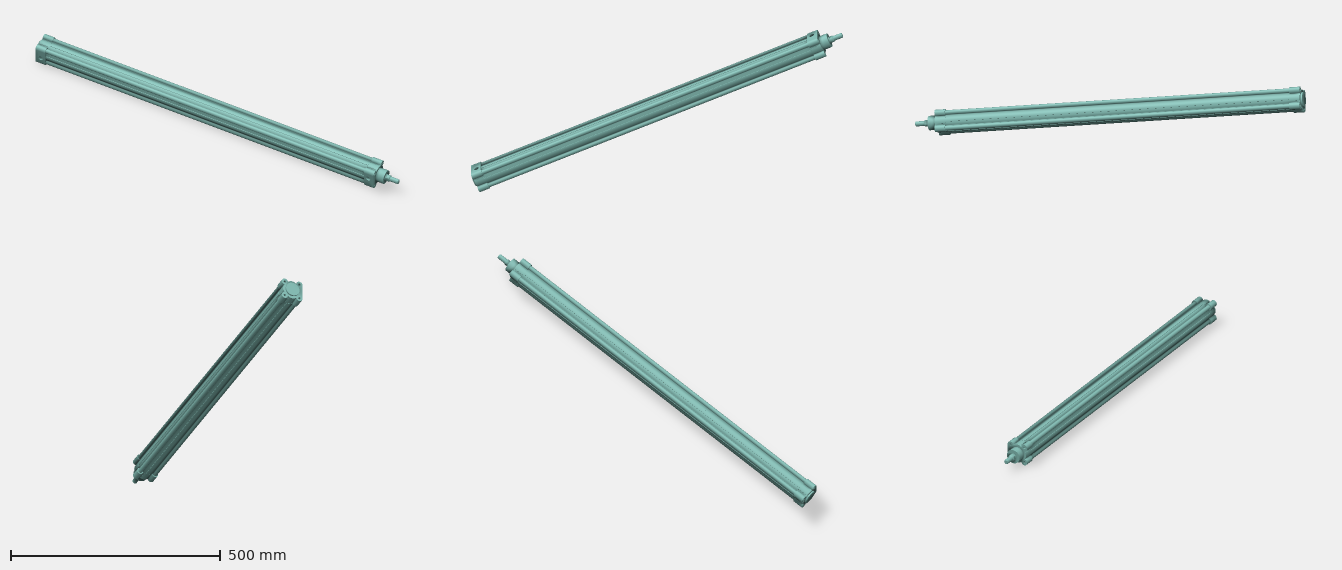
import cadquery as cq
import math


stroke = 800.0
body_without_stroke = 105.0
body_length = stroke + body_without_stroke
cap_length = 26.0
rear_boss_length = 4.0
neck_length = 20.0
wrench_section_length = 10.0
thread_length = 24.0

square_size = 54.0
screw_pitch = 38.0
cap_lobe_radius = (square_size - screw_pitch) / 2
cap_barrel_radius = 22.5
cap_lobe_fillet = 1.0
cap_rib_width = 15.0
cap_rib_height = 23.7
cap_rib_crown_radius = 18.0
guide_diameter = 34.6
screw_hole_diameter = 6.0
screw_hole_depth = 16.0

port_diameter = 11.8
port_depth = 12.0
port_offset_x = 14.5
port_offset_z = 4.4

tube_lobe_radius = 5.4
tube_barrel_radius = 23.0
tube_lobe_fillet = 1.0
tube_rib_width = 8.7
tube_rib_height = 24.3
tube_rib_crown_radius = 14.0

wiper_lip_diameter = 16.6
wiper_lip_length = 2.5

rod_diameter = 16.0
rod_flat_width = 13.0
thread_diameter = 12.0
rod_end_taper = (rod_diameter - thread_diameter) / 2
thread_chamfer = 1.5

tube_start = cap_length
head_start = body_length - cap_length
neck_end = body_length + neck_length
lip_end = neck_end + wiper_lip_length
rod_shoulder = neck_end + wrench_section_length


def section_at(x):
    """Sketch plane across the cylinder axis, with local x along Y and local y along Z."""
    return cq.Workplane("YZ", origin=(x, 0, 0))


def lobed_bar(x, length, barrel_radius, lobe_radius, fillet_radius):
    """Round bar with a round lobe blended on around each of the four screw axes."""
    barrel = section_at(x).circle(barrel_radius).extrude(length)
    lobes = section_at(x).rect(screw_pitch, screw_pitch, forConstruction=True).vertices()
    bar = barrel.union(lobes.circle(lobe_radius).extrude(length))
    return bar.edges("|X").fillet(fillet_radius)


def crowned_ribs(x, length, width, height, crown_radius):
    """Cross of four ribs along +Z, -Z, +Y and -Y, each with a gently crowned top."""
    half_width = width / 2
    shoulder = height - crown_radius + math.sqrt(crown_radius**2 - half_width**2)
    rib_pair = (
        section_at(x)
        .moveTo(-half_width, -shoulder)
        .lineTo(-half_width, shoulder)
        .threePointArc((0, height), (half_width, shoulder))
        .lineTo(half_width, -shoulder)
        .threePointArc((0, -height), (-half_width, -shoulder))
        .close()
        .extrude(length)
    )
    return rib_pair.union(rib_pair.rotate((0, 0, 0), (1, 0, 0), 90))


def cap_block(x):
    """Lobed cap with its -Y side filled out to a flat port face."""
    block = lobed_bar(x, cap_length, cap_barrel_radius, cap_lobe_radius, cap_lobe_fillet)
    face_depth = square_size / 2 - screw_pitch / 2
    port_side = (
        section_at(x)
        .center(-(square_size - face_depth) / 2, 0)
        .rect(face_depth, screw_pitch)
        .extrude(cap_length)
    )
    ribs = crowned_ribs(x, cap_length, cap_rib_width, cap_rib_height, cap_rib_crown_radius)
    return block.union(ribs).union(port_side)


def port(x, z):
    """Blind cylindrical air port going inward from the -Y face."""
    entry = cq.Workplane("XZ", origin=(x, -square_size / 2, z))
    return entry.circle(port_diameter / 2).extrude(-port_depth)


def screw_holes(x, depth):
    """Four blind screw holes starting at x; a negative depth drills toward -X."""
    corners = section_at(x).rect(screw_pitch, screw_pitch, forConstruction=True).vertices()
    return corners.circle(screw_hole_diameter / 2).extrude(depth)


def make_rear_cap():
    boss = section_at(-rear_boss_length).circle(guide_diameter / 2).extrude(rear_boss_length)
    cap = cap_block(0).union(boss)
    cap = cap.cut(screw_holes(0, screw_hole_depth))
    return cap.cut(port(port_offset_x, -port_offset_z))


def make_tube():
    length = head_start - tube_start
    tube = lobed_bar(tube_start, length, tube_barrel_radius, tube_lobe_radius, tube_lobe_fillet)
    ribs = crowned_ribs(tube_start, length, tube_rib_width, tube_rib_height, tube_rib_crown_radius)
    return tube.union(ribs)


def make_head():
    neck = section_at(body_length).circle(guide_diameter / 2).extrude(neck_length)
    lip = section_at(neck_end).circle(wiper_lip_diameter / 2).extrude(wiper_lip_length)
    head = cap_block(head_start).union(neck).union(lip)
    head = head.cut(screw_holes(body_length, -screw_hole_depth))
    return head.cut(port(body_length - port_offset_x, port_offset_z))


def make_rod():
    flat_length = rod_shoulder - lip_end
    flats = section_at(lip_end).rect(rod_flat_width, rod_diameter).extrude(flat_length)
    rod = section_at(lip_end).circle(rod_diameter / 2).extrude(flat_length).intersect(flats)
    taper = (
        section_at(rod_shoulder)
        .circle(rod_diameter / 2)
        .workplane(offset=rod_end_taper)
        .circle(thread_diameter / 2)
        .loft()
    )
    thread = section_at(rod_shoulder).circle(thread_diameter / 2).extrude(thread_length)
    thread = thread.faces(">X").chamfer(thread_chamfer)
    return rod.union(taper).union(thread)


rear_cap = make_rear_cap()
tube = make_tube()
head = make_head()
rod = make_rod()

result = cq.Compound.makeCompound([rear_cap.val(), tube.val(), head.val(), rod.val()])